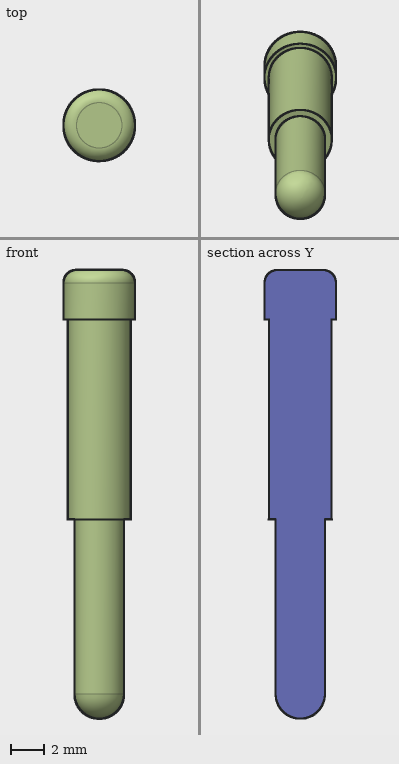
import cadquery as cq
import math

head_diameter = 4.33
head_height = 3.0
head_edge_radius = 0.8
body_diameter = 3.8
body_length = 12.0
pin_diameter = 3.0
pin_length = 12.0

head_radius = head_diameter / 2
body_radius = body_diameter / 2
pin_radius = pin_diameter / 2

tip_center_z = pin_radius
body_bottom_z = pin_length
head_bottom_z = body_bottom_z + body_length
head_top_z = head_bottom_z + head_height

tip_mid_offset = pin_radius * math.sin(math.radians(45))
tip_mid = (tip_mid_offset, tip_center_z - tip_mid_offset)


def make_stepped_pin():
    """Revolve the half outline of tip, pin, body and head about the Z axis."""
    outline = (
        cq.Workplane("XZ")
        .moveTo(0, 0)
        .threePointArc(tip_mid, (pin_radius, tip_center_z))
        .lineTo(pin_radius, body_bottom_z)
        .lineTo(body_radius, body_bottom_z)
        .lineTo(body_radius, head_bottom_z)
        .lineTo(head_radius, head_bottom_z)
        .lineTo(head_radius, head_top_z)
        .lineTo(0, head_top_z)
        .close()
    )
    return outline.revolve(360, (0, 0), (0, 1))


def round_head(pin):
    """Round the top rim of the head."""
    return pin.faces(">Z").edges("%CIRCLE").fillet(head_edge_radius)


result = round_head(make_stepped_pin())